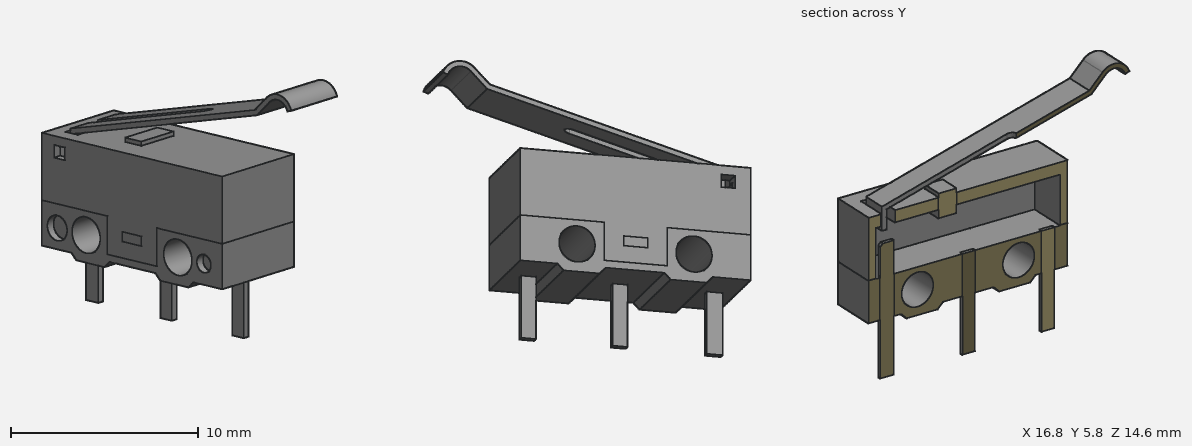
import cadquery as cq
import math


case_length = 12.8
case_width = 5.8
case_height = 6.25
wall = 0.5
ceiling = 0.75
base_height = 2.52
cavity_top = case_height - ceiling

foot_height = 0.35
foot_length = 2.7
foot_starts = (2.1, 8.05)

tab_left = 4.65
tab_right = 8.15
tab_bottom = 0.4
latch_left = 5.72
latch_right = 7.07
latch_bottom = 1.31
latch_height = 0.54

hole_height = 1.18
mount_diameter = 2.0
mount_places = (3.15, 9.65)
blind_depth = 0.5
blind_holes = ((1.1, 1.4), (11.5, 1.0))

lever_slot_left = 0.82
lever_slot_right = 1.70
lever_slot_width = 3.86
window_left = 0.87
window_right = 1.63
window_bottom = 5.04
window_top = 5.74

lever_width = 3.7
lever_thickness = 0.3
lever_left = 1.1
lever_bottom = window_bottom
arm_angle = math.radians(15)
rise_angle = math.radians(45)
arm_end_x = 14.18
arm_end_z = 9.97
roll_radius = 1.05
roll_centre_x = 15.78
roll_end_angle = math.radians(18)
fork_slot_width = 0.7
fork_slot_end = 9.47

plunger_left = 4.5
plunger_length = 1.15
plunger_width = 2.6
plunger_rise = 0.24
plunger_reach = 0.5
plunger_top = case_height + plunger_rise
plunger_bottom = cavity_top - plunger_reach

terminal_thickness = 0.4
terminal_bottom = -3.45
terminal_chamfer = 0.17
common_left = 0.75
common_width = 0.88
common_top = 4.5
contact_lefts = (6.03, 11.12)
contact_width = 0.82


def block(x_min, x_max, y_min, y_max, z_min, z_max):
    size = (x_max - x_min, y_max - y_min, z_max - z_min)
    return cq.Workplane("XY").box(*size, centered=False).translate((x_min, y_min, z_min))


def centred_block(x_min, x_max, width, z_min, z_max):
    return block(x_min, x_max, -width / 2, width / 2, z_min, z_max)


def along_y(profile, width):
    """Extrude an XZ profile evenly to both sides of the middle plane."""
    return profile.extrude(width / 2, both=True)


def make_terminals():
    common = centred_block(
        common_left, common_left + common_width, terminal_thickness, terminal_bottom, common_top
    )
    common = common.edges("<X and >Z").chamfer(terminal_chamfer)
    contacts = [
        centred_block(left, left + contact_width, terminal_thickness, terminal_bottom, base_height)
        for left in contact_lefts
    ]
    return [common, *contacts]


def make_plunger():
    return centred_block(
        plunger_left, plunger_left + plunger_length, plunger_width, plunger_bottom, plunger_top
    )


def make_lever():
    leg_right = lever_left + lever_thickness
    bend_half = (rise_angle - arm_angle) / 2
    bend_mid = (rise_angle + arm_angle) / 2
    bend_span = lever_thickness / math.cos(bend_half)
    under_x = arm_end_x + bend_span * math.sin(bend_mid)
    under_z = arm_end_z - bend_span * math.cos(bend_mid)
    arm_slope = math.tan(arm_angle)
    top_corner_z = arm_end_z - (arm_end_x - lever_left) * arm_slope
    inner_corner_z = under_z - (under_x - leg_right) * arm_slope

    roll_centre_z = (
        arm_end_z
        + (roll_centre_x - arm_end_x) * math.tan(rise_angle)
        - roll_radius / math.cos(rise_angle)
    )
    roll_start_angle = math.pi / 2 + rise_angle
    inner_radius = roll_radius - lever_thickness

    def on_roll(radius, angle):
        return (
            roll_centre_x + radius * math.cos(angle),
            roll_centre_z + radius * math.sin(angle),
        )

    profile = (
        cq.Workplane("XZ")
        .moveTo(lever_left, lever_bottom)
        .lineTo(lever_left, top_corner_z)
        .lineTo(arm_end_x, arm_end_z)
        .lineTo(*on_roll(roll_radius, roll_start_angle))
        .threePointArc(on_roll(roll_radius, math.pi / 2), on_roll(roll_radius, roll_end_angle))
        .lineTo(*on_roll(inner_radius, roll_end_angle))
        .threePointArc(on_roll(inner_radius, math.pi / 2), on_roll(inner_radius, roll_start_angle))
        .lineTo(under_x, under_z)
        .lineTo(leg_right, inner_corner_z)
        .lineTo(leg_right, lever_bottom)
        .close()
    )
    lever = along_y(profile, lever_width)

    slot_radius = fork_slot_width / 2
    slot_centre = fork_slot_end - slot_radius
    fork_slot = centred_block(0, slot_centre, fork_slot_width, 0, arm_end_z)
    slot_round = cq.Workplane("XY").center(slot_centre, 0).circle(slot_radius).extrude(arm_end_z)
    return lever.cut(fork_slot).cut(slot_round)


def make_tab(side):
    """Snap tab with its latch window, on the -Y (side = -1) or +Y (side = 1) face."""
    faces = sorted((side * case_width / 2, side * (case_width / 2 - wall)))
    tab = block(tab_left, tab_right, *faces, tab_bottom, base_height)
    latch = block(latch_left, latch_right, *faces, latch_bottom, latch_bottom + latch_height)
    return tab.cut(latch)


def make_base(terminals):
    base = centred_block(0, case_length, case_width, 0, base_height)
    for start in foot_starts:
        foot = (
            cq.Workplane("XZ")
            .moveTo(start, 0)
            .lineTo(start + foot_height, -foot_height)
            .lineTo(start + foot_length - foot_height, -foot_height)
            .lineTo(start + foot_length, 0)
            .close()
        )
        base = base.union(along_y(foot, case_width))
    for place in mount_places:
        hole = cq.Workplane("XZ").center(place, hole_height).circle(mount_diameter / 2)
        base = base.cut(along_y(hole, case_width))
    for place, diameter in blind_holes:
        hole = (
            cq.Workplane("XZ", origin=(0, -case_width / 2, 0))
            .center(place, hole_height)
            .circle(diameter / 2)
            .extrude(-blind_depth)
        )
        base = base.cut(hole)
    for side in (-1, 1):
        base = base.cut(make_tab(side))
    for terminal in terminals:
        base = base.cut(terminal)
    return base


def make_cover(plunger):
    cover = centred_block(0, case_length, case_width, base_height, case_height)
    cavity = centred_block(
        wall, case_length - wall, case_width - 2 * wall, base_height, cavity_top
    )
    lever_slot = centred_block(
        lever_slot_left, lever_slot_right, lever_slot_width, cavity_top, case_height
    )
    windows = centred_block(window_left, window_right, case_width, window_bottom, window_top)
    cover = cover.cut(cavity).cut(lever_slot).cut(windows).cut(plunger)
    for side in (-1, 1):
        cover = cover.union(make_tab(side))
    return cover


terminals = make_terminals()
plunger = make_plunger()
lever = make_lever()
base = make_base(terminals)
cover = make_cover(plunger)

result = cq.Compound.makeCompound(
    [cover.val(), base.val(), lever.val(), plunger.val(), *[terminal.val() for terminal in terminals]]
)